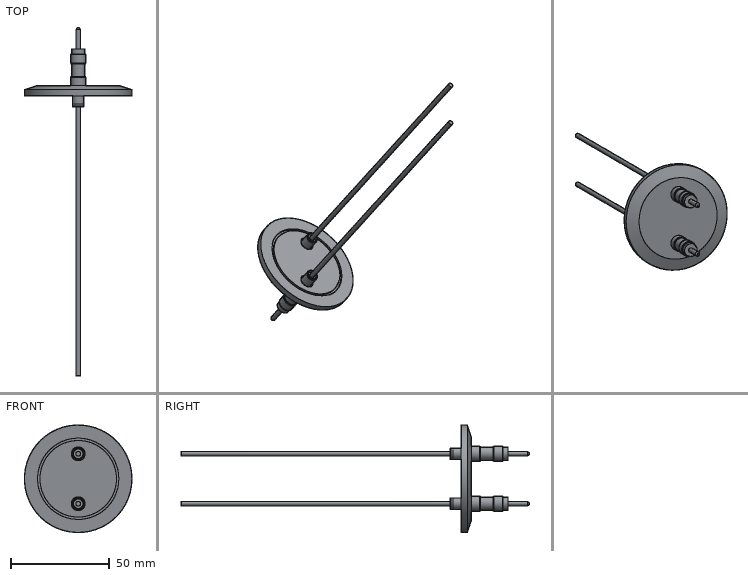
import cadquery as cq

pin_spacing = 25.4

flange_diameter = 54.864
flange_thickness = 5.2
rim_thickness = 3.1
back_face_diameter = 42.4
groove_outer_diameter = 41.4
groove_inner_diameter = 39.0
groove_depth = 1.0

pin_diameter = 2.4
pin_length = 177.29
pin_back_reach = 34.7
pin_tip_bevel_length = 1.0
pin_tip_bevel_width = 0.75

insulator_diameter = 6.8
insulator_reach = 23.9
band_diameter = 7.8
outer_band_start = 16.3
outer_band_end = 21.4
inner_band_end = 9.8
band_bevel_length = 0.45
band_bevel_width = 0.25

sleeve_diameter = 5.9
sleeve_length = 5.7
sleeve_bevel_length = 0.45
sleeve_bevel_width = 0.15
sleeve_bore_diameter = 4.9
sleeve_bore_depth = 1.5
clearance_diameter = 7.0
clearance_depth = 1.0


def revolve_about_y(half_profile):
    """Solid of revolution about the Y axis from (radius, y) points."""
    return cq.Workplane("XY").polyline(half_profile).close().revolve(360, (0, 0, 0), (0, 1, 0))


def cylinder(diameter, y_start, y_end):
    """Solid cylinder on the Y axis between two Y positions."""
    profile = cq.Workplane("XZ", origin=(0, y_end, 0)).circle(diameter / 2)
    return profile.extrude(y_end - y_start)


def bevelled_cylinder(diameter, y_plain, y_bevelled, bevel_length, bevel_width):
    """Cylinder on the Y axis whose end at y_bevelled is narrowed by a bevel."""
    radius = diameter / 2
    toward_plain = 1 if y_plain > y_bevelled else -1
    return revolve_about_y([
        (0, y_plain),
        (radius, y_plain),
        (radius, y_bevelled + toward_plain * bevel_length),
        (radius - bevel_width, y_bevelled),
        (0, y_bevelled),
    ])


def ring(outer_diameter, inner_diameter, y_start, y_end):
    """Tube on the Y axis between two Y positions."""
    return cylinder(outer_diameter, y_start, y_end).cut(cylinder(inner_diameter, y_start, y_end))


def make_flange():
    """Disc with a conical back and a ring groove in the sealing face."""
    disc = revolve_about_y([
        (0, 0),
        (flange_diameter / 2, 0),
        (flange_diameter / 2, rim_thickness),
        (back_face_diameter / 2, flange_thickness),
        (0, flange_thickness),
    ])
    return disc.cut(ring(groove_outer_diameter, groove_inner_diameter, 0, groove_depth))


def make_pin():
    """Long rod with a tapered tip on its +Y end."""
    front_end = pin_back_reach - pin_length
    return bevelled_cylinder(
        pin_diameter, front_end, pin_back_reach, pin_tip_bevel_length, pin_tip_bevel_width
    )


def make_band_piece(y_plain, y_bevelled):
    """Raised band piece, bevelled at one end."""
    return bevelled_cylinder(band_diameter, y_plain, y_bevelled, band_bevel_length, band_bevel_width)


def make_insulator():
    """Insulator body behind the flange with its two raised bands."""
    body = cylinder(insulator_diameter, flange_thickness, insulator_reach)
    inner_band = make_band_piece(flange_thickness, inner_band_end)
    outer_band_middle = (outer_band_start + outer_band_end) / 2
    outer_band = make_band_piece(outer_band_middle, outer_band_start)
    outer_band = outer_band.union(make_band_piece(outer_band_middle, outer_band_end))
    return body.union(inner_band).union(outer_band).clean()


def make_sleeve():
    """Sleeve with a bevelled, counterbored front end, rooted at the floor of its clearance ring."""
    sleeve = bevelled_cylinder(
        sleeve_diameter, clearance_depth, -sleeve_length, sleeve_bevel_length, sleeve_bevel_width
    )
    bore = cylinder(sleeve_bore_diameter, -sleeve_length, sleeve_bore_depth - sleeve_length)
    return sleeve.cut(bore)


clearance = ring(clearance_diameter, sleeve_diameter, 0, clearance_depth)
feedthrough = make_insulator().union(make_sleeve()).union(make_pin())

result = make_flange()
for z in (-pin_spacing / 2, pin_spacing / 2):
    result = result.cut(clearance.translate((0, 0, z)))
    result = result.union(feedthrough.translate((0, 0, z)))